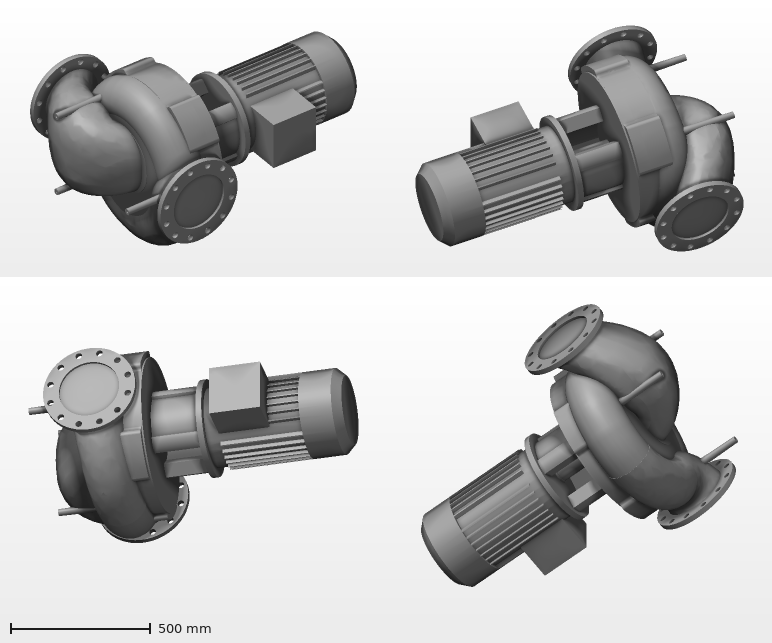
import cadquery as cq
import math


suction_face_x = -430.0
discharge_face_x = 370.0
flange_radius = 170.0
flange_thickness = 20.0
bolt_circle_radius = 147.5
bolt_hole_radius = 12.0
bolt_count = 12
spigot_radius = 125.0
bore_radius = 111.0
bore_depth = 10.0
discharge_start_radius = 91.0
discharge_end_radius = 116.0
discharge_stations = 4
oval_points = 16

tube_radius = 90.0
ring_radius = 230.0
ring_center_z = -40.0
ring_center_y = 28.0
casing_back_y = 119.0
hub_face_y = -58.0
eye_radius = 133.0
eye_height = 2.0

rim_radius = 282.0
pad_radius = 304.5
pad_half_angle = 18.6
pad_corner_radius = 16.0
pad_root_radius = 14.0
pad_front_y = 35.0
pad_angles = [45.0, 135.0, 225.0, 315.0]
cover_back_y = 164.0

lantern_plate_back_y = 170.0
lantern_flange_front_y = 343.5
lantern_flange_back_y = 360.0
motor_flange_radius = 177.0
arm_inner_radius = 104.5
arm_outer_radius = 141.5
lug_half_width = 30.0
lug_inner = 100.0
lug_shoulder = 150.5
lug_crown = 159.0

motor_flange_back_y = 365.0
fins_front_y = 413.5
fins_back_y = 717.5
hood_cone_y = 838.0
motor_back_y = 870.0
frame_radius = 144.0
hood_radius = 157.0
hood_end_radius = 126.5
fin_pitch = 28.0
fins_each_side = 3
fin_thickness = 4.0
shaft_radius = 29.5
collar_radius = 33.0
collar_front_y = 336.0

box_outer_x = 251.5
box_half_height = 95.0
box_back_y = 600.5

foot_end_y = motor_back_y - 1115.72
foot_start_y = -45.0
foot_base_radius = 15.5
foot_end_radius = 12.5
foot_bore_radius = 5.0
foot_bore_depth = 30.0
suction_foot_x = -163.5
suction_foot_z = 166.0
discharge_foot_x = 271.0
web_thickness = 7.0
web_front_y = -203.0
web_inner_z = 138.0


def disc(radius, y_front, y_back, center_z=0.0):
    """Cylinder along Y between two Y positions."""
    plane = cq.Workplane("XZ", origin=(0, y_back, center_z))
    return plane.circle(radius).extrude(y_back - y_front)


def block(x_range, y_range, z_range):
    """Box between two limits on each axis."""
    sizes = [high - low for low, high in (x_range, y_range, z_range)]
    corner = (x_range[0], y_range[0], z_range[0])
    return cq.Workplane("XY", origin=corner).box(*sizes, centered=False)


def rim_with_pads(y_front, y_back):
    """Round rim with four bolting pads, rounded at their corners and roots."""
    rim = disc(rim_radius, y_front, y_back)
    half_angle = math.radians(pad_half_angle)
    side = (pad_radius * math.cos(half_angle), pad_radius * math.sin(half_angle))
    for angle in pad_angles:
        pad = (
            cq.Workplane("XZ", origin=(0, y_back, 0))
            .lineTo(side[0], -side[1])
            .threePointArc((pad_radius, 0), side)
            .close()
            .extrude(y_back - y_front)
            .edges("|Y and (not <X)")
            .fillet(pad_corner_radius)
        )
        rim = rim.union(pad.rotate((0, 0, 0), (0, 1, 0), angle))

    def is_pad_root(edge):
        center = edge.Center()
        on_rim = abs(math.hypot(center.x, center.z) - rim_radius) < 0.01
        return on_rim and abs(center.z) > 1

    return rim.edges("|Y").filter(is_pad_root).fillet(pad_root_radius)




def make_volute():
    """Three quarters of the ring, from its bottom clockwise past -X and +Z to +X, around a hub."""
    ring_plane = cq.Plane((0, ring_center_y, ring_center_z), xDir=(0, 0, 1), normal=(1, 0, 0))
    ring = (
        cq.Workplane(ring_plane)
        .center(-ring_radius, 0)
        .circle(tube_radius)
        .revolve(270, (ring_radius, 1), (ring_radius, 0))
    )
    hub = disc(ring_radius, hub_face_y, casing_back_y, ring_center_z)
    eye = disc(eye_radius, hub_face_y - eye_height, 0)
    return ring.union(hub).union(rim_with_pads(pad_front_y, casing_back_y)).union(eye)


def make_discharge():
    """Tube that follows the ring from its bottom and bends outward to the +X flange.

    The bend is tangent to the ring and ends level at the back of the flange.
    """
    end_x = discharge_face_x - flange_thickness
    drop = -ring_center_z
    bend_radius = (end_x**2 + drop**2 - ring_radius**2) / (2 * (ring_radius + drop))
    full_turn = math.atan2(end_x, bend_radius - drop)
    bend_share = bend_radius / (ring_radius + bend_radius)

    def outline(x, z, heading, share):
        """Circle across the tube, at a share of its length."""
        center = (x, ring_center_y * (1 - share), z)
        radius = discharge_start_radius + (discharge_end_radius - discharge_start_radius) * share**3
        plane = cq.Plane(center, xDir=(0, 1, 0), normal=(math.cos(heading), 0, math.sin(heading)))
        return cq.Workplane(plane).circle(radius).wires().val()

    ring_outlines = []
    bend_outlines = []
    for station in range(discharge_stations + 1):
        progress = station / discharge_stations
        heading = full_turn * progress
        x = ring_radius * math.sin(heading)
        z = ring_center_z - ring_radius * math.cos(heading)
        ring_outlines.append(outline(x, z, heading, progress * (1 - bend_share)))
        heading = full_turn * (1 - progress)
        x = end_x - bend_radius * math.sin(heading)
        z = bend_radius * (math.cos(heading) - 1)
        bend_outlines.append(outline(x, z, heading, 1 - bend_share * (1 - progress)))
    ring_part = cq.Workplane(cq.Solid.makeLoft(ring_outlines, False))
    return ring_part.union(cq.Workplane(cq.Solid.makeLoft(bend_outlines, False)))


def superellipse(half_height, half_width, squareness):
    """Points around a closed oval; a squareness of 2 gives an ellipse and more fills its corners.

    The outline starts at the lowest point.
    """
    points = []
    for index in range(oval_points):
        angle = 2 * math.pi * index / oval_points + math.pi
        reach = [abs(math.cos(angle)) ** (2 / squareness), abs(math.sin(angle)) ** (2 / squareness)]
        points.append(
            (
                half_height * math.copysign(reach[0], math.cos(angle)),
                half_width * math.copysign(reach[1], math.sin(angle)),
            )
        )
    return points


def make_suction():
    """Elbow from the -X flange that swells, dips toward -Y and turns into the pump eye."""
    stations = [
        (suction_face_x + flange_thickness, 0, 0, 119, 115, 2.0),
        (-360, -36, -24, 132, 94, 2.0),
        (-285, -80, -33, 158, 96, 2.4),
        (-138, -126, 0, 172, 116, 2.7),
        (-35, -97, 50, 149, 101, 2.3),
        (9, 0, 90, 126, 101, 2.2),
    ]
    wires = []
    for x, y, degrees, half_height, half_width, squareness in stations:
        angle = math.radians(degrees)
        direction = (math.cos(angle), math.sin(angle), 0)
        plane = cq.Plane((x, y, 0), xDir=(0, 0, 1), normal=direction)
        outline = cq.Workplane(plane).spline(
            superellipse(half_height, half_width, squareness), periodic=True
        )
        wires.append(cq.Wire.assembleEdges(outline.vals()))
    return cq.Workplane(cq.Solid.makeLoft(wires, False))


def make_spigot(face_x, inward):
    """Pipe end that fills a flange, with a shallow recess in its face."""
    face = cq.Workplane("YZ", origin=(face_x, 0, 0))
    spigot = face.circle(spigot_radius).extrude(inward * flange_thickness)
    return spigot.cut(face.circle(bore_radius).extrude(inward * bore_depth))


def make_casing(feet):
    casing = make_volute().union(make_suction()).union(make_discharge())
    casing = casing.union(make_spigot(suction_face_x, 1))
    casing = casing.union(make_spigot(discharge_face_x, -1))
    for foot in feet:
        casing = casing.cut(foot)
    return casing


def make_flange(face_x, inward):
    flange = cq.Workplane("YZ", origin=(face_x, 0, 0)).circle(flange_radius).circle(spigot_radius)
    flange = flange.extrude(inward * flange_thickness)
    holes = (
        cq.Workplane("YZ", origin=(face_x, 0, 0))
        .polarArray(bolt_circle_radius, 180 / bolt_count, 360, bolt_count)
        .circle(bolt_hole_radius)
        .extrude(inward * flange_thickness)
    )
    return flange.cut(holes)




def make_foot(x, z):
    """Tapered round foot along -Y with a blind hole in its end."""
    length = foot_start_y - foot_end_y
    foot = (
        cq.Workplane("XZ", origin=(x, foot_start_y, z))
        .circle(foot_base_radius)
        .workplane(offset=length)
        .circle(foot_end_radius)
        .loft()
    )
    bore = cq.Workplane("XZ", origin=(x, foot_end_y + foot_bore_depth, z))
    return foot.cut(bore.circle(foot_bore_radius).extrude(foot_bore_depth))


def make_suction_foot(side):
    """Foot beside the elbow with a thin web toward the elbow; side is +1 or -1 along Z."""
    z_range = sorted([side * web_inner_z, side * (suction_foot_z - foot_bore_radius)])
    x_range = (suction_foot_x - web_thickness / 2, suction_foot_x + web_thickness / 2)
    web = block(x_range, (web_front_y, foot_start_y), z_range)
    bore_front = disc(foot_bore_radius, foot_end_y, foot_end_y + foot_bore_depth)
    bore_front = bore_front.translate((suction_foot_x, 0, side * suction_foot_z))
    return make_foot(suction_foot_x, side * suction_foot_z).union(web).cut(bore_front)




def make_lantern():
    arm_front = lantern_plate_back_y
    arm_back = lantern_flange_front_y
    wall = disc(arm_outer_radius, arm_front, arm_back)
    wall = wall.cut(disc(arm_inner_radius, arm_front, arm_back))
    diagonal = 2 * arm_outer_radius
    for side in (1, -1):
        opening = (
            cq.Workplane("XZ", origin=(0, arm_back, 0))
            .polyline([(0, 0), (diagonal, side * diagonal), (-diagonal, side * diagonal)])
            .close()
            .extrude(arm_back - arm_front)
        )
        wall = wall.cut(opening)
    lantern = disc(rim_radius, cover_back_y, lantern_plate_back_y).union(wall)
    for angle in pad_angles:
        lug = (
            cq.Workplane("XZ", origin=(0, arm_back, 0))
            .moveTo(lug_inner, -lug_half_width)
            .lineTo(lug_shoulder, -lug_half_width)
            .threePointArc((lug_crown, 0), (lug_shoulder, lug_half_width))
            .lineTo(lug_inner, lug_half_width)
            .close()
            .extrude(arm_back - arm_front)
        )
        lantern = lantern.union(lug.rotate((0, 0, 0), (0, 1, 0), angle))
    flange = disc(motor_flange_radius, lantern_flange_front_y, lantern_flange_back_y)
    flange = flange.cut(disc(collar_radius, lantern_flange_front_y, lantern_flange_back_y))
    return lantern.union(flange)




def make_fins():
    """Parallel cooling fins on all four sides, trimmed to the hood diameter."""
    half = fin_thickness / 2
    fins = cq.Workplane("XY")
    for index in range(-fins_each_side, fins_each_side + 1):
        offset = index * fin_pitch
        across = (offset - half, offset + half)
        along = (-hood_radius, hood_radius)
        y_range = (fins_front_y, fins_back_y)
        fins = fins.union(block(across, y_range, along))
        fins = fins.union(block(along, y_range, across))
    return fins.intersect(disc(hood_radius, fins_front_y, fins_back_y))


def make_motor():
    profile = [
        (0, lantern_plate_back_y),
        (shaft_radius, lantern_plate_back_y),
        (shaft_radius, collar_front_y),
        (collar_radius, collar_front_y),
        (collar_radius, lantern_flange_back_y),
        (motor_flange_radius, lantern_flange_back_y),
        (motor_flange_radius, motor_flange_back_y),
        (frame_radius, motor_flange_back_y),
        (frame_radius, fins_back_y),
        (hood_radius, fins_back_y),
        (hood_radius, hood_cone_y),
        (hood_end_radius, motor_back_y),
        (0, motor_back_y),
    ]
    motor = cq.Workplane("XY").polyline(profile).close().revolve(360, (0, 0), (0, 1))
    box_pad = block(
        (0, hood_radius), (fins_front_y, box_back_y), (-box_half_height, box_half_height)
    )
    return motor.union(make_fins()).union(box_pad)


def make_terminal_box():
    return block(
        (hood_radius, box_outer_x),
        (fins_front_y, box_back_y),
        (-box_half_height, box_half_height),
    )


feet = [make_suction_foot(1), make_suction_foot(-1), make_foot(discharge_foot_x, 0)]
flanges = [make_flange(suction_face_x, 1), make_flange(discharge_face_x, -1)]
casing = make_casing(feet)
cover = rim_with_pads(casing_back_y, cover_back_y)
lantern = make_lantern()
motor = make_motor()
terminal_box = make_terminal_box()

bodies = [casing, *flanges, *feet, cover, lantern, motor, terminal_box]
result = cq.Compound.makeCompound([body.val() for body in bodies])